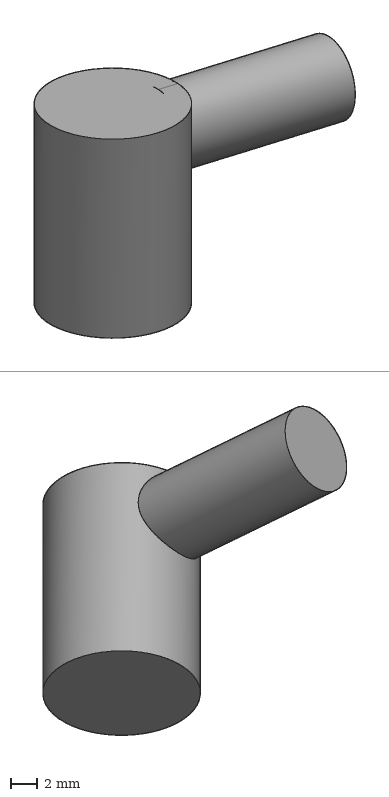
import cadquery as cq

TOTAL_LENGTH = 26.0
POST_DIAMETER = 12.0
POST_HEIGHT = 17.0
ARM_DIAMETER = 7.0
ARM_ROOT_Y = 4.2

ARM_TIP_Y = TOTAL_LENGTH - POST_DIAMETER / 2
ARM_AXIS_Z = POST_HEIGHT - ARM_DIAMETER / 2


def make_arm():
    """Horizontal round arm along +Y, with its inner end inside the post."""
    return (
        cq.Workplane("XZ", origin=(0, ARM_ROOT_Y, ARM_AXIS_Z))
        .circle(ARM_DIAMETER / 2)
        .extrude(ARM_ROOT_Y - ARM_TIP_Y)
    )


def make_post(arm):
    """Upright round post with a flat-bottomed socket that fits the arm."""
    blank = cq.Workplane("XY").circle(POST_DIAMETER / 2).extrude(POST_HEIGHT)
    return blank.cut(arm).solids()


arm = make_arm()
post = make_post(arm)

result = cq.Compound.makeCompound([post.val(), arm.val()])